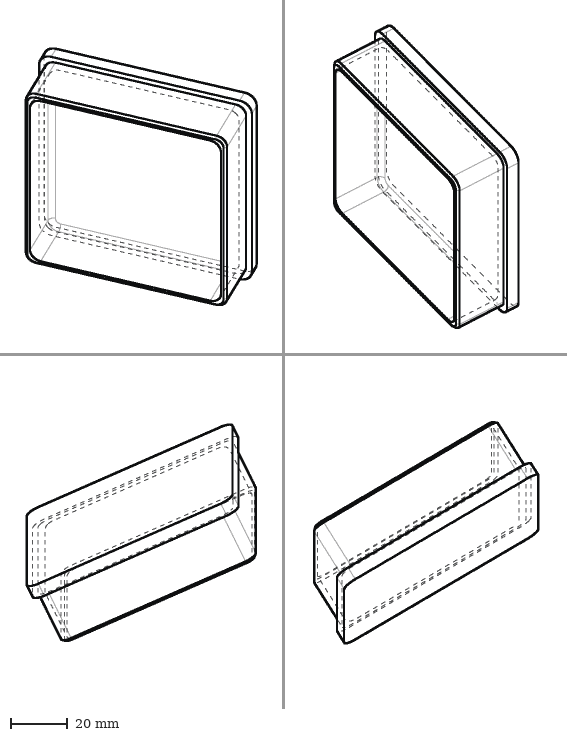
import cadquery as cq

total_depth = 25.0

flange_side = 80.0
flange_thickness = 5.0
flange_corner_radius = 4.6

body_side = 75.8
body_corner_radius = 4.0
rim_chamfer = 1.0

wall_thickness = 2.0
cavity_side = body_side - 2 * wall_thickness
cavity_corner_radius = body_corner_radius
floor_thickness = flange_thickness
floor_fillet = 2.0


def rounded_square_block(side, corner_radius, back, front):
    """Square block centred on the Y axis with rounded corners, from y=back to y=front (front < back)."""
    return (
        cq.Workplane("XZ", origin=(0, back, 0))
        .rect(side, side)
        .extrude(back - front)
        .edges("|Y")
        .fillet(corner_radius)
    )


flange = rounded_square_block(flange_side, flange_corner_radius, 0, -flange_thickness)

body = rounded_square_block(body_side, body_corner_radius, 0, -total_depth)
body = body.faces("<Y").chamfer(rim_chamfer)

cavity = rounded_square_block(cavity_side, cavity_corner_radius, -floor_thickness, -total_depth)
cavity = cavity.faces(">Y").edges().fillet(floor_fillet)

result = flange.union(body).cut(cavity)